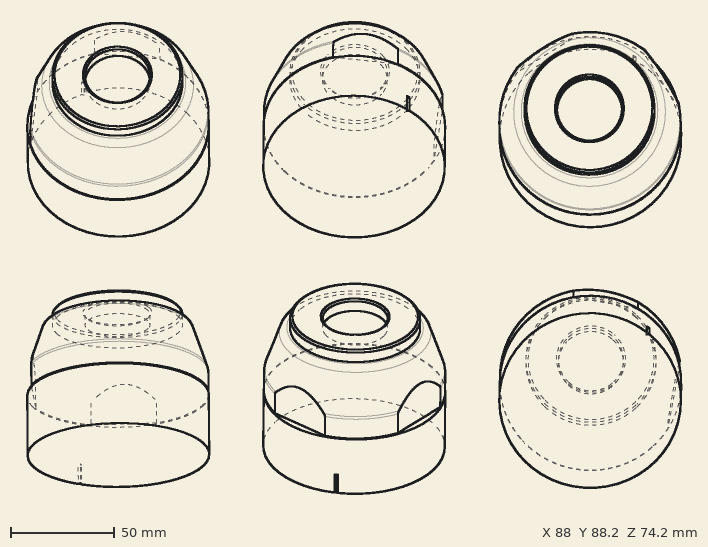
import cadquery as cq

base_diameter = 88.0
rim_diameter = 87.8
base_radius = base_diameter / 2
rim_radius = rim_diameter / 2
lean_angle = 0.45

base_height = 30.9
notch_width = 1.8
notch_depth = 0.9
notch_height = 10.15

body_gap = 0.5
cap_bottom = base_height + body_gap
rim_height = 11.65
cone_height = 24.2
cone_slope = 1 / 3
collar_radius = 31.5
collar_height = 6.4
collar_chamfer = 1.1
shoulder_fillet = 3.9
rim_fillet = 4.4

pocket_radius = 15.7
pocket_depth = collar_height
pocket_chamfer = 1.0

flat_distance = 40.95
flat_angles = (151, 241)

rim_top = cap_bottom + rim_height
shoulder_z = rim_top + cone_height
collar_top = shoulder_z + collar_height
shoulder_radius = rim_radius - cone_height * cone_slope


def circle_at(radius, height):
    """Selector box around a horizontal circular edge centred on the axis."""
    margin = 0.1
    reach = radius + margin
    return cq.selectors.BoxSelector(
        (-reach, -reach, height - margin), (reach, reach, height + margin), boundingbox=True
    )


def make_base():
    """Plain cylinder with a short V-notch at the bottom of its -X side."""
    cylinder = cq.Workplane("XY").circle(base_radius).extrude(base_height)
    overshoot = 0.9
    notch_tip = -base_radius + notch_depth
    outer_x = -base_radius - overshoot
    outer_half_width = notch_width / 2 * (notch_depth + overshoot) / notch_depth
    notch = (
        cq.Workplane("XY")
        .polyline([(notch_tip, 0), (outer_x, outer_half_width), (outer_x, -outer_half_width)])
        .close()
        .extrude(notch_height)
    )
    return cylinder.cut(notch)


def make_turned_cap():
    """Rim, cone, shoulder and collar, with rounded and chamfered edges."""
    outline = [
        (0, cap_bottom),
        (rim_radius, cap_bottom),
        (rim_radius, rim_top),
        (shoulder_radius, shoulder_z),
        (collar_radius, shoulder_z),
        (collar_radius, collar_top),
        (0, collar_top),
    ]
    cap = cq.Workplane("XZ").polyline(outline).close().revolve(360, (0, 0), (0, 1))
    cap = cap.edges(circle_at(rim_radius, rim_top)).fillet(rim_fillet)
    shoulder_edge = circle_at(shoulder_radius, shoulder_z) - circle_at(collar_radius, shoulder_z)
    cap = cap.edges(shoulder_edge).fillet(shoulder_fillet)
    return cap.edges(circle_at(collar_radius, collar_top)).chamfer(collar_chamfer)


def make_pocket():
    """Cutter for the round pocket with a chamfered mouth."""
    mouth_radius = pocket_radius + pocket_chamfer
    outline = [
        (0, collar_top - pocket_depth),
        (pocket_radius, collar_top - pocket_depth),
        (pocket_radius, collar_top - pocket_chamfer),
        (mouth_radius, collar_top),
        (0, collar_top),
    ]
    return cq.Workplane("XZ").polyline(outline).close().revolve(360, (0, 0), (0, 1))


def make_flat(angle):
    """Block that removes everything beyond a vertical plane facing the given angle."""
    centre_distance = flat_distance + rim_radius / 2
    return (
        cq.Workplane("XY", origin=(0, 0, cap_bottom))
        .center(centre_distance, 0)
        .rect(rim_radius, 2 * rim_radius)
        .extrude(collar_top - cap_bottom)
        .rotate((0, 0, 0), (0, 0, 1), angle)
    )


def make_cap():
    cap = make_turned_cap().cut(make_pocket())
    for angle in flat_angles:
        cap = cap.cut(make_flat(angle))
    return cap


def lean(body):
    """Tip a body about the X axis so that its top moves towards -Y."""
    return body.rotate((0, 0, 0), (1, 0, 0), lean_angle)


base = lean(make_base())
cap = lean(make_cap())

result = cq.Compound.makeCompound([base.val(), cap.val()])